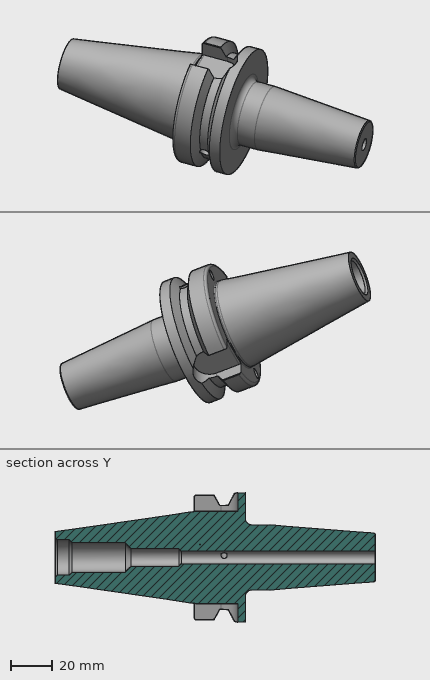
import cadquery as cq
import math


GAUGE_DIAMETER = 44.45
TAPER_LENGTH = 65.4
TAPER_RATIO = 7 / 24
TAPER_END_RADIUS = (GAUGE_DIAMETER - TAPER_LENGTH * TAPER_RATIO) / 2

FLANGE_RADIUS = 31.5
FLANGE_START = 2.0
FLANGE_END = 27.0
FLANGE_FILLET = 1.4
GROOVE_CENTRE = 16.6
GROOVE_FLOOR_RADIUS = 26.5
GROOVE_FLOOR_WIDTH = 4.2
GROOVE_FLANK_ANGLE = 30.0
GROOVE_FLANK_WIDTH = (FLANGE_RADIUS - GROOVE_FLOOR_RADIUS) * math.tan(math.radians(GROOVE_FLANK_ANGLE))
NECK_START = 0.5
NECK_RADIUS = GAUGE_DIAMETER / 2 + NECK_START * TAPER_RATIO / 2
NECK_FILLET = 0.5

NOSE_END = 90.0
NOSE_TIP_RADIUS = 12.0
NOSE_ROOT_RADIUS = 16.0
NOSE_TAPER_START = 39.0
NOSE_ROOT_FILLET = 3.0
NOSE_TIP_CHAMFER = 0.5

SLOT_WIDTH = 16.1
SLOT_FLOOR_HEIGHT = 22.5
SLOT_END = 23.2
SLOT_RIM_CHAMFER = 0.4
SLOT_BEVEL_LENGTH = 1.0
SLOT_BEVEL_DROP = SLOT_FLOOR_HEIGHT - NECK_RADIUS

MOUTH_DIAMETER = 19.0
PILOT_DIAMETER = 17.0
PILOT_DEPTH = 6.8
THREAD_DIAMETER = 14.2
THREAD_DEPTH = 34.0
COOLANT_DIAMETER = 8.4
COOLANT_DEPTH = 60.0
THROUGH_DIAMETER = 6.0
CONE_HALF_ANGLE = 45.0

CHANNEL_ANGLE = 20.0
PLUG_SEAT_DIAMETER = 5.0
PLUG_SEAT_RADIUS = 23.6
CROSS_DIAMETER = 3.0
INLET_DIAMETER = 4.0
INLET_RADIUS = 26.9
INLET_TILT = 40.0


def make_body():
    """Revolve the outer outline about the X axis."""
    groove_left = GROOVE_CENTRE - GROOVE_FLOOR_WIDTH / 2
    groove_right = GROOVE_CENTRE + GROOVE_FLOOR_WIDTH / 2
    outline = (
        cq.Workplane("XY")
        .moveTo(-TAPER_LENGTH, 0)
        .lineTo(-TAPER_LENGTH, TAPER_END_RADIUS)
        .lineTo(NECK_START, NECK_RADIUS)
        .lineTo(FLANGE_START - NECK_FILLET, NECK_RADIUS)
        .radiusArc((FLANGE_START, NECK_RADIUS + NECK_FILLET), -NECK_FILLET)
        .lineTo(FLANGE_START, FLANGE_RADIUS - FLANGE_FILLET)
        .radiusArc((FLANGE_START + FLANGE_FILLET, FLANGE_RADIUS), FLANGE_FILLET)
        .lineTo(groove_left - GROOVE_FLANK_WIDTH, FLANGE_RADIUS)
        .lineTo(groove_left, GROOVE_FLOOR_RADIUS)
        .lineTo(groove_right, GROOVE_FLOOR_RADIUS)
        .lineTo(groove_right + GROOVE_FLANK_WIDTH, FLANGE_RADIUS)
        .lineTo(FLANGE_END, FLANGE_RADIUS)
        .lineTo(FLANGE_END, NOSE_ROOT_RADIUS + NOSE_ROOT_FILLET)
        .radiusArc((FLANGE_END + NOSE_ROOT_FILLET, NOSE_ROOT_RADIUS), -NOSE_ROOT_FILLET)
        .lineTo(NOSE_TAPER_START, NOSE_ROOT_RADIUS)
        .lineTo(NOSE_END - NOSE_TIP_CHAMFER, NOSE_TIP_RADIUS)
        .lineTo(NOSE_END, NOSE_TIP_RADIUS - NOSE_TIP_CHAMFER)
        .lineTo(NOSE_END, 0)
        .close()
    )
    return outline.revolve(360, (0, 0, 0), (1, 0, 0))


def make_slot():
    """Round-ended driving slot above the axis, with bevelled rims and a bevelled floor edge."""
    round_centre = SLOT_END - SLOT_WIDTH / 2
    slot = (
        cq.Workplane("XY", origin=(0, 0, SLOT_FLOOR_HEIGHT))
        .moveTo(0, -SLOT_WIDTH / 2)
        .lineTo(round_centre, -SLOT_WIDTH / 2)
        .threePointArc((SLOT_END, 0), (round_centre, SLOT_WIDTH / 2))
        .lineTo(0, SLOT_WIDTH / 2)
        .close()
        .extrude(FLANGE_RADIUS - SLOT_FLOOR_HEIGHT)
    )
    half_width = SLOT_WIDTH / 2
    rim_height = math.sqrt(FLANGE_RADIUS**2 - half_width**2)
    rim_bevel = (
        cq.Workplane("YZ")
        .moveTo(0, rim_height - SLOT_RIM_CHAMFER)
        .lineTo(half_width, rim_height - SLOT_RIM_CHAMFER)
        .lineTo(half_width + 2 * SLOT_RIM_CHAMFER, rim_height + SLOT_RIM_CHAMFER)
        .lineTo(0, rim_height + SLOT_RIM_CHAMFER)
        .close()
        .extrude(GROOVE_CENTRE)
    )
    bevel_end = FLANGE_START + SLOT_BEVEL_LENGTH
    floor_bevel = (
        cq.Workplane("XZ")
        .moveTo(FLANGE_START, SLOT_FLOOR_HEIGHT)
        .lineTo(bevel_end, SLOT_FLOOR_HEIGHT)
        .lineTo(FLANGE_START, SLOT_FLOOR_HEIGHT - SLOT_BEVEL_DROP)
        .close()
        .extrude(half_width, both=True)
    )
    return slot.union(rim_bevel.union(rim_bevel.mirror("XZ"))).union(floor_bevel)


def make_bore():
    """Revolve the stepped axial bore about the X axis."""
    mouth, pilot, thread, coolant, through = (
        diameter / 2
        for diameter in (MOUTH_DIAMETER, PILOT_DIAMETER, THREAD_DIAMETER, COOLANT_DIAMETER, THROUGH_DIAMETER)
    )
    start = -TAPER_LENGTH
    slope = math.tan(math.radians(CONE_HALF_ANGLE))
    outline = (
        cq.Workplane("XY")
        .moveTo(start, 0)
        .lineTo(start, mouth)
        .lineTo(start + mouth - pilot, pilot)
        .lineTo(start + PILOT_DEPTH, pilot)
        .lineTo(start + PILOT_DEPTH + (pilot - thread) / slope, thread)
        .lineTo(start + THREAD_DEPTH, thread)
        .lineTo(start + THREAD_DEPTH + (thread - coolant) / slope, coolant)
        .lineTo(start + COOLANT_DEPTH, coolant)
        .lineTo(start + COOLANT_DEPTH + (coolant - through) / slope, through)
        .lineTo(NOSE_END, through)
        .lineTo(NOSE_END, 0)
        .close()
    )
    return outline.revolve(360, (0, 0, 0), (1, 0, 0))


def make_hole(start, direction, diameter, length):
    """Straight round hole from a start point along a direction."""
    return cq.Workplane(cq.Solid.makeCylinder(diameter / 2, length, cq.Vector(*start), cq.Vector(*direction)))


def make_channel(turn):
    """Cross hole, plug seat and tilted face inlet, turned about the X axis."""
    cross = make_hole((GROOVE_CENTRE, 0, 0), (0, 1, 0), CROSS_DIAMETER, PLUG_SEAT_RADIUS)
    seat_depth = FLANGE_RADIUS - PLUG_SEAT_RADIUS
    seat = make_hole((GROOVE_CENTRE, PLUG_SEAT_RADIUS, 0), (0, 1, 0), PLUG_SEAT_DIAMETER, seat_depth)
    tilt = math.radians(INLET_TILT)
    run = GROOVE_CENTRE - FLANGE_START
    lead = INLET_DIAMETER
    direction = (math.cos(tilt), -math.sin(tilt), 0)
    start = (FLANGE_START - lead * math.cos(tilt), INLET_RADIUS + lead * math.sin(tilt), 0)
    inlet = make_hole(start, direction, INLET_DIAMETER, lead + run / math.cos(tilt))
    return cross.union(seat).union(inlet).rotate((0, 0, 0), (1, 0, 0), turn)


result = make_body()
for turn in (0, 180):
    result = result.cut(make_slot().rotate((0, 0, 0), (1, 0, 0), turn))
result = result.cut(make_bore())
for turn in (CHANNEL_ANGLE, CHANNEL_ANGLE + 180):
    result = result.cut(make_channel(turn))